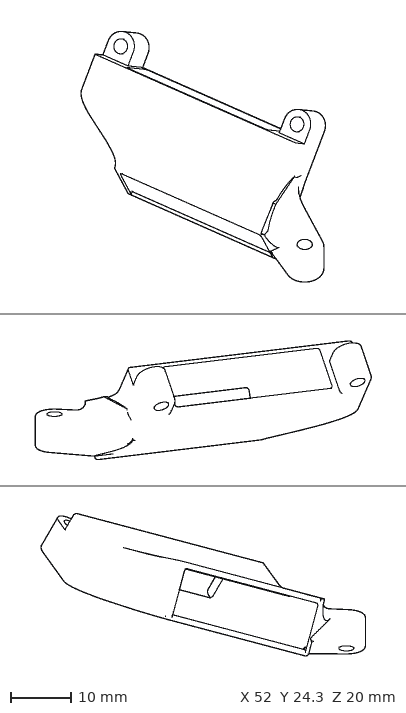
import cadquery as cq
import math

INLET_PITCH = 50.0
INLET_WIDTH = 40.0
INLET_HEIGHT = 9.7
INLET_LENGTH = 6.3
INLET_FLOOR_Y = 17.23
INLET_FLOOR_Z = 7.42

OUTLET_PITCH = 25.0
OUTLET_WIDTH = 30.0
OUTLET_HEIGHT = 10.0
OUTLET_LEFT = 12.4
OUTLET_RIGHT = OUTLET_LEFT + OUTLET_WIDTH
OUTLET_FLOOR_Y = 5.0
OUTLET_FLOOR_Z = -0.08

BEND_HANDLE = 3.5
EDGE_RADIUS = 0.5

PASSAGE_WIDTH = 28.0
PASSAGE_HEIGHT = 8.0
PASSAGE_FLOOR = 1.0
PASSAGE_OVERRUN = 2.0
LIP_RADIUS = 0.45

HOLE_DIAMETER = 2.5

LUG_WIDTH = 5.0
LUG_REACH = 2.5
LUG_ROOT = 1.0
LUG_DEPTH = 6.25
LUG_LEFTS = (0, INLET_WIDTH - LUG_WIDTH)

TAB_RADIUS = 3.2
TAB_X = 48.81
TAB_Y = TAB_RADIUS
TAB_BOTTOM = 2.38
TAB_THICKNESS = 5.85
TAB_TOP = TAB_BOTTOM + TAB_THICKNESS
TAB_FRONT_ANGLE = math.radians(149.5)
TAB_BACK_ANGLE = math.radians(143.3)
TAB_LENGTH = 9.5
TAB_FRONT_FLARE = 1.4
TAB_BACK_FLARE = 5.0
TAB_FRONT_ROOT = 0.7
TAB_BACK_ROOT = 1.5

BLEND_RADIUS = 3.0
BLEND_FRONT = (42.3, -1.0)
BLEND_BACK = (39.3, 18.0)
BLEND_INNER_X = 36.0

CLEARANCE = 20.0
TOLERANCE = 0.01


def axis_of(pitch):
    """Flow direction for a downward pitch angle."""
    angle = math.radians(pitch)
    return cq.Vector(0, -math.cos(angle), -math.sin(angle))


def up_of(pitch):
    """Direction from floor to roof, square to the flow."""
    angle = math.radians(pitch)
    return cq.Vector(0, -math.sin(angle), math.cos(angle))


INLET_AXIS = axis_of(INLET_PITCH)
INLET_UP = up_of(INLET_PITCH)
OUTLET_AXIS = axis_of(OUTLET_PITCH)
OUTLET_UP = up_of(OUTLET_PITCH)
BEND_START = cq.Vector(0, INLET_FLOOR_Y, INLET_FLOOR_Z)
INLET_FLOOR = BEND_START - INLET_AXIS * INLET_LENGTH
OUTLET_FLOOR = cq.Vector(OUTLET_LEFT, OUTLET_FLOOR_Y, OUTLET_FLOOR_Z)



def section(corner, up, width, height):
    """Four corners of a rectangle with one side along X."""
    across = cq.Vector(width, 0, 0)
    rise = up * height
    return [corner, corner + across, corner + across + rise, corner + rise]


def railed_solid(starts, ends, rails):
    """Solid bounded by two end rectangles and faces ruled between neighbouring rails."""
    faces = [cq.Face.makeFromWires(cq.Wire.makePolygon(ring, close=True)) for ring in (starts, ends)]
    for index, rail in enumerate(rails):
        faces.append(cq.Face.makeRuledSurface(rail, rails[(index + 1) % len(rails)]))
    shell = cq.Shell.makeShell(faces)
    return cq.Workplane(obj=cq.Solid.makeSolid(shell).fix())


def straight_duct(starts, ends):
    rails = [cq.Edge.makeLine(start, end) for start, end in zip(starts, ends)]
    return railed_solid(starts, ends, rails)


def bend_poles(start, end):
    """Control points of a bend curve that leaves and arrives along the flow axes."""
    return [start, start + INLET_AXIS * BEND_HANDLE, end - OUTLET_AXIS * BEND_HANDLE, end]


def bent_duct(starts, ends):
    rails = [cq.Edge.makeBezier(bend_poles(start, end)) for start, end in zip(starts, ends)]
    return railed_solid(starts, ends, rails)


def duct_body():
    inlet = section(INLET_FLOOR, INLET_UP, INLET_WIDTH, INLET_HEIGHT)
    bend = section(BEND_START, INLET_UP, INLET_WIDTH, INLET_HEIGHT)
    outlet = section(OUTLET_FLOOR, OUTLET_UP, OUTLET_WIDTH, OUTLET_HEIGHT)
    return straight_duct(inlet, bend).union(bent_duct(bend, outlet))


def is_lengthwise(edge):
    """True for an edge that starts out along one of the flow axes."""
    tangent = edge.tangentAt(0)
    return max(abs(tangent.dot(axis)) for axis in (INLET_AXIS, OUTLET_AXIS)) > 1 - TOLERANCE


def passage():
    """Cutter for the air passage, running past both mouths."""
    inlet_shift = cq.Vector((INLET_WIDTH - PASSAGE_WIDTH) / 2, 0, 0) + INLET_UP * PASSAGE_FLOOR
    outlet_shift = cq.Vector((OUTLET_WIDTH - PASSAGE_WIDTH) / 2, 0, 0) + OUTLET_UP * PASSAGE_FLOOR
    corners = [
        (INLET_FLOOR - INLET_AXIS * PASSAGE_OVERRUN + inlet_shift, INLET_UP),
        (BEND_START + inlet_shift, INLET_UP),
        (OUTLET_FLOOR + outlet_shift, OUTLET_UP),
        (OUTLET_FLOOR + OUTLET_AXIS * PASSAGE_OVERRUN + outlet_shift, OUTLET_UP),
    ]
    rings = [section(corner, up, PASSAGE_WIDTH, PASSAGE_HEIGHT) for corner, up in corners]
    cutter = straight_duct(rings[0], rings[1]).union(bent_duct(rings[1], rings[2]))
    cutter = cutter.union(straight_duct(rings[2], rings[3]))
    lengthwise = [edge for edge in cutter.edges().vals() if is_lengthwise(edge)]
    return cutter.newObject(lengthwise).fillet(EDGE_RADIUS)


def lip_rounding():
    """Cutter that rounds the passage floor over into the outlet mouth."""
    corner = OUTLET_FLOOR + OUTLET_UP * PASSAGE_FLOOR
    corner += cq.Vector((OUTLET_WIDTH - PASSAGE_WIDTH) / 2, 0, 0)
    inset = corner - OUTLET_AXIS * LIP_RADIUS - OUTLET_UP * LIP_RADIUS
    block = section(inset, OUTLET_UP, PASSAGE_WIDTH, 2 * LIP_RADIUS)
    block = straight_duct(block, [point + OUTLET_AXIS * 2 * LIP_RADIUS for point in block])
    lip = cq.Solid.makeCylinder(LIP_RADIUS, PASSAGE_WIDTH, inset, cq.Vector(1, 0, 0))
    return block.cut(cq.Workplane(obj=lip))



def lug(left):
    """Round-ended lug standing on the inlet plane with its hole square to the inlet floor."""
    corner = INLET_FLOOR + cq.Vector(left, 0, 0)
    plane = cq.Plane(origin=corner.toTuple(), xDir=(1, 0, 0), normal=INLET_UP.toTuple())
    half = LUG_WIDTH / 2
    return (
        cq.Workplane(plane)
        .moveTo(0, -LUG_ROOT)
        .lineTo(0, LUG_REACH)
        .threePointArc((half, LUG_REACH + half), (LUG_WIDTH, LUG_REACH))
        .lineTo(LUG_WIDTH, -LUG_ROOT)
        .close()
        .extrude(LUG_DEPTH)
    )


def lug_hole(left):
    centre = INLET_FLOOR - INLET_AXIS * LUG_REACH + cq.Vector(left + LUG_WIDTH / 2, 0, 0)
    return cq.Workplane(obj=cq.Solid.makeCylinder(HOLE_DIAMETER / 2, LUG_DEPTH, centre, INLET_UP))


def is_rounded(edge):
    """True for the outer edges along the duct, round the outlet and round the inlet and lug floor."""
    centre = edge.Center()
    below_bend = (centre - BEND_START).dot(INLET_AXIS)
    above_floor = (centre - BEND_START).dot(INLET_UP)
    across = abs(edge.tangentAt(0).x) > 1 - TOLERANCE
    on_outlet = abs((centre - OUTLET_FLOOR).dot(OUTLET_AXIS)) < TOLERANCE
    on_inlet_floor = abs(above_floor) < TOLERANCE and below_bend < -TOLERANCE
    on_inlet_roof = abs(above_floor - INLET_HEIGHT) < TOLERANCE and not across
    return on_outlet or on_inlet_floor or on_inlet_roof or edge.geomType() == "BEZIER"


def rounded_duct():
    body = duct_body()
    for left in LUG_LEFTS:
        body = body.union(lug(left))
    return body.newObject([edge for edge in body.edges().vals() if is_rounded(edge)]).fillet(EDGE_RADIUS)



def side_point(angle, along, offset):
    """Plan point at a distance along a side's direction from the hole and an offset to its left."""
    x = TAB_X + along * math.cos(angle) - offset * math.sin(angle)
    y = TAB_Y + along * math.sin(angle) + offset * math.cos(angle)
    return (x, y)


def root_flare(wall_x, radius, angle, side):
    """Start, middle and end of the plan arc from one side of the arm to the duct wall."""
    offset = side * (TAB_RADIUS + radius)
    along = (wall_x + radius - side_point(angle, 0, offset)[0]) / math.cos(angle)
    centre = cq.Vector(*side_point(angle, along, offset))
    start = cq.Vector(*side_point(angle, along, side * TAB_RADIUS))
    end = centre - cq.Vector(radius, 0)
    middle = centre + ((start + end) / 2 - centre).normalized() * radius
    return [(point.x, point.y) for point in (start, middle, end)]


def tab_plan():
    """Closed plan outline of the tab with both root flares."""
    front = root_flare(OUTLET_RIGHT, TAB_FRONT_FLARE, TAB_FRONT_ANGLE, 1)
    back = root_flare(INLET_WIDTH, TAB_BACK_FLARE, TAB_BACK_ANGLE, -1)
    tip = side_point((TAB_FRONT_ANGLE + TAB_BACK_ANGLE) / 2, -TAB_RADIUS, 0)
    return (
        cq.Workplane("XY", origin=(0, 0, TAB_BOTTOM))
        .moveTo(*side_point(TAB_FRONT_ANGLE, 0, TAB_RADIUS))
        .threePointArc(tip, side_point(TAB_BACK_ANGLE, 0, -TAB_RADIUS))
        .lineTo(*back[0])
        .threePointArc(back[1], back[2])
        .lineTo(INLET_WIDTH - TAB_BACK_ROOT, back[2][1])
        .lineTo(OUTLET_RIGHT - TAB_FRONT_ROOT, front[2][1])
        .lineTo(*front[2])
        .threePointArc(front[1], front[0])
        .close()
    )


def blend_section(wall):
    """Upright section of the blend: a concave quarter round between wall and tab top."""
    wall_x, y = wall
    reach = wall_x + BLEND_RADIUS
    mid = BLEND_RADIUS * (1 - math.sqrt(0.5))
    return (
        cq.Workplane("XZ", origin=(0, y, 0))
        .moveTo(BLEND_INNER_X, TAB_TOP)
        .lineTo(BLEND_INNER_X, TAB_TOP + BLEND_RADIUS)
        .lineTo(wall_x, TAB_TOP + BLEND_RADIUS)
        .threePointArc((wall_x + mid, TAB_TOP + mid), (reach, TAB_TOP))
        .close()
        .wire().val()
    )


def wall_blend():
    sections = [blend_section(BLEND_FRONT), blend_section(BLEND_BACK)]
    blend = cq.Workplane(obj=cq.Solid.makeLoft(sections, True))
    return blend.intersect(tab_plan().extrude(TAB_THICKNESS + 2 * BLEND_RADIUS))


def beyond_bend(height, reach):
    """Trimming prism between the duct's side curve at a height above the floor and a level past it."""
    start = BEND_START + INLET_UP * height
    end = OUTLET_FLOOR + OUTLET_UP * height
    poles = [(pole.y, pole.z) for pole in bend_poles(start, end)]
    inlet = start - INLET_AXIS * INLET_LENGTH
    tip = end + OUTLET_UP * reach
    return (
        cq.Workplane("YZ")
        .moveTo(inlet.y, inlet.z)
        .lineTo(*poles[0])
        .bezier(poles)
        .lineTo(tip.y, tip.z)
        .lineTo(inlet.y, tip.z)
        .close()
        .extrude(TAB_X)
    )


def arm():
    """Straight bar along the arm's front side, its lower front edge rounded."""
    front = [side_point(TAB_FRONT_ANGLE, along, TAB_RADIUS) for along in (-TAB_RADIUS, TAB_LENGTH)]
    back = [side_point(TAB_FRONT_ANGLE, along, -TAB_RADIUS) for along in (TAB_LENGTH, -TAB_RADIUS)]
    bar = cq.Workplane("XY", origin=(0, 0, TAB_BOTTOM)).polyline(front + back).close().extrude(TAB_THICKNESS)
    middle = (cq.Vector(*front[0]) + cq.Vector(*front[1])) / 2
    lower_front = cq.selectors.NearestToPointSelector((middle.x, middle.y, TAB_BOTTOM))
    return bar.edges(lower_front).fillet(EDGE_RADIUS)


def front_of_outlet():
    """Block ahead of the outlet plane that spares the arm itself."""
    mouth = section(OUTLET_FLOOR - OUTLET_UP * CLEARANCE, OUTLET_UP, OUTLET_WIDTH + CLEARANCE, 3 * CLEARANCE)
    block = straight_duct(mouth, [point + OUTLET_AXIS * CLEARANCE for point in mouth])
    return block.cut(arm())


def is_tab_side(face):
    """True for the upright faces that follow the arm's sides, its round end and its flares."""
    if face.BoundingBox().zmin > TAB_BOTTOM + TOLERANCE:
        return False
    normal = face.normalAt()
    if face.geomType() == "CYLINDER":
        return True
    runs = [cq.Vector(math.cos(angle), math.sin(angle)) for angle in (TAB_FRONT_ANGLE, TAB_BACK_ANGLE)]
    return abs(normal.z) < TOLERANCE and min(abs(normal.dot(run)) for run in runs) < TOLERANCE


def tab():
    """Horizontal arm to the side hole, flared and blended into the duct wall."""
    plate = tab_plan().extrude(TAB_THICKNESS).union(wall_blend())
    rim = []
    for face in plate.faces().vals():
        if is_tab_side(face):
            rim += [edge for edge in face.Edges() if abs(edge.tangentAt(0.5).z) < 1 - TOLERANCE]
    plate = plate.newObject(rim).fillet(EDGE_RADIUS)
    plate = plate.cut(beyond_bend(0, -CLEARANCE)).cut(beyond_bend(OUTLET_HEIGHT, CLEARANCE))
    return plate.cut(front_of_outlet())


def tab_hole():
    hole = cq.Workplane("XY", origin=(TAB_X, TAB_Y, TAB_BOTTOM))
    return hole.circle(HOLE_DIAMETER / 2).extrude(TAB_THICKNESS)



body = rounded_duct().union(tab())
body = body.cut(passage()).cut(lip_rounding())
for left in LUG_LEFTS:
    body = body.cut(lug_hole(left))
result = body.cut(tab_hole())